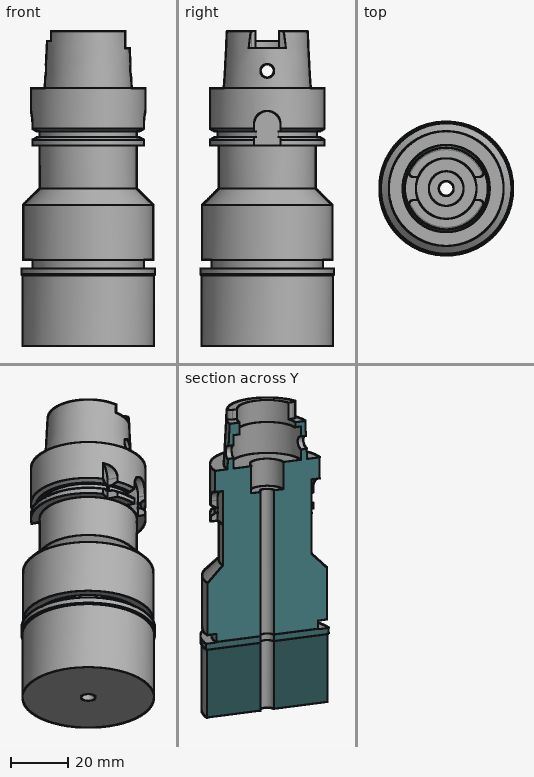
import cadquery as cq
import math

TOTAL_HEIGHT = 110.0
NUT_TOP = 24.8
RING_TOP = 27.2
BODY_BOTTOM = 30.1
SHOULDER_BOTTOM = 49.3
SHOULDER_TOP = 55.0
FLANGE_BOTTOM = 70.0
FLANGE_TOP = 90.0

NUT_RADIUS = 46.0 / 2
RING_RADIUS = 46.8 / 2
RING_CHAMFER = RING_RADIUS - NUT_RADIUS

SPIGOT_RADIUS = 19.5
BODY_RADIUS = 22.8
NECK_RADIUS = 34.0 / 2

FLANGE_RADIUS = 20.0
GROOVE_RADIUS = 34.9 / 2
GROOVE_FLOOR_BOTTOM = FLANGE_BOTTOM + 3.0
GROOVE_FLOOR_TOP = FLANGE_BOTTOM + 5.0
GROOVE_BEVEL_HEIGHT = 1.0
GROOVE_BEVEL_WIDTH = 1.6

TAPER_BASE_RADIUS = 30.5 / 2
TAPER_SLOPE = 0.05
TAPER_TOP_RADIUS = TAPER_BASE_RADIUS - TAPER_SLOPE * (TOTAL_HEIGHT - FLANGE_TOP)
TAPER_TOP_ROUND = 0.7
SOCKET_RADIUS = 10.6
SOCKET_DEPTH = TOTAL_HEIGHT - FLANGE_TOP
SOCKET_MOUTH_DEPTH = 8.0
UNDERCUT_RADIUS = 12.8
COUNTERBORE_RADIUS = 6.0
COUNTERBORE_DEPTH = 9.9
COOLANT_RADIUS = 2.5

CROSS_HOLE_RADIUS = 2.3
CROSS_HOLE_Z = FLANGE_TOP + 6.0
KEYWAY_WIDTH = 8.0
KEYWAY_CORNER_RADIUS = 1.5
KEYWAY_SHOULDER_X = 13.0
SHALLOW_KEYWAY_DEPTH = 3.5
DEEP_KEYWAY_DEPTH = 6.0

SLOT_RADIUS = 4.6
SLOT_ARC_Z = FLANGE_TOP - 12.5
DRIVE_SLOT_FLOOR_X = NECK_RADIUS
SIDE_SLOT_FLOOR_X = 12.3
SIDE_SLOT_Y = 16.4


def cylinder(radius, bottom, top):
    return cq.Workplane("XY").workplane(offset=bottom).circle(radius).extrude(top - bottom)


def coolant_hole():
    return cylinder(COOLANT_RADIUS, 0, TOTAL_HEIGHT)


def make_nut():
    return cylinder(NUT_RADIUS, 0, NUT_TOP).cut(coolant_hole())


def make_ring():
    ring = cylinder(RING_RADIUS, NUT_TOP, RING_TOP)
    return ring.faces("<Z").chamfer(RING_CHAMFER).cut(coolant_hole())


def holder_blank():
    bevel_radius = FLANGE_RADIUS - GROOVE_BEVEL_WIDTH
    round_inset = TAPER_TOP_ROUND * (1 - math.sqrt(0.5))
    outline = (
        cq.Workplane("XZ")
        .moveTo(0, RING_TOP)
        .lineTo(SPIGOT_RADIUS, RING_TOP)
        .lineTo(SPIGOT_RADIUS, BODY_BOTTOM)
        .lineTo(BODY_RADIUS, BODY_BOTTOM)
        .lineTo(BODY_RADIUS, SHOULDER_BOTTOM)
        .lineTo(NECK_RADIUS, SHOULDER_TOP)
        .lineTo(NECK_RADIUS, FLANGE_BOTTOM)
        .lineTo(FLANGE_RADIUS, FLANGE_BOTTOM)
        .lineTo(FLANGE_RADIUS, GROOVE_FLOOR_BOTTOM - GROOVE_BEVEL_HEIGHT)
        .lineTo(bevel_radius, GROOVE_FLOOR_BOTTOM)
        .lineTo(GROOVE_RADIUS, GROOVE_FLOOR_BOTTOM)
        .lineTo(GROOVE_RADIUS, GROOVE_FLOOR_TOP)
        .lineTo(bevel_radius, GROOVE_FLOOR_TOP)
        .lineTo(FLANGE_RADIUS, GROOVE_FLOOR_TOP + GROOVE_BEVEL_HEIGHT)
        .lineTo(FLANGE_RADIUS, FLANGE_TOP)
        .lineTo(TAPER_BASE_RADIUS, FLANGE_TOP)
        .lineTo(TAPER_TOP_RADIUS, TOTAL_HEIGHT - TAPER_TOP_ROUND)
        .threePointArc(
            (TAPER_TOP_RADIUS - round_inset, TOTAL_HEIGHT - round_inset),
            (TAPER_TOP_RADIUS - TAPER_TOP_ROUND, TOTAL_HEIGHT),
        )
        .lineTo(0, TOTAL_HEIGHT)
        .close()
    )
    return outline.revolve(360, (0, 0), (0, 1))


def socket():
    """Stepped bore of the hollow taper: mouth, wider undercut and counterbore."""
    floor = TOTAL_HEIGHT - SOCKET_DEPTH
    mouth_bottom = TOTAL_HEIGHT - SOCKET_MOUTH_DEPTH
    mouth = cylinder(SOCKET_RADIUS, floor, TOTAL_HEIGHT)
    undercut = cylinder(UNDERCUT_RADIUS, floor, mouth_bottom)
    counterbore = cylinder(COUNTERBORE_RADIUS, floor - COUNTERBORE_DEPTH, floor)
    return mouth.union(undercut).union(counterbore)


def cross_hole():
    return (
        cq.Workplane("YZ")
        .center(0, CROSS_HOLE_Z)
        .circle(CROSS_HOLE_RADIUS)
        .extrude(TAPER_BASE_RADIUS, both=True)
    )


def keyway(side, depth):
    """Slot through one wall of the taper, rounding out on both sides into a flat square to X."""
    half = KEYWAY_WIDTH / 2
    radius = KEYWAY_CORNER_RADIUS
    round_inset = radius * (1 - math.sqrt(0.5))
    shoulder_x = side * KEYWAY_SHOULDER_X
    round_start_x = side * (KEYWAY_SHOULDER_X - radius)
    round_middle_x = side * (KEYWAY_SHOULDER_X - round_inset)
    outer_x = side * TAPER_BASE_RADIUS
    side_y = TAPER_BASE_RADIUS
    plan = (
        cq.Workplane("XY")
        .workplane(offset=TOTAL_HEIGHT - depth)
        .moveTo(0, -half)
        .lineTo(round_start_x, -half)
        .threePointArc((round_middle_x, -half - round_inset), (shoulder_x, -half - radius))
        .lineTo(shoulder_x, -side_y)
        .lineTo(outer_x, -side_y)
        .lineTo(outer_x, side_y)
        .lineTo(shoulder_x, side_y)
        .lineTo(shoulder_x, half + radius)
        .threePointArc((round_middle_x, half + round_inset), (round_start_x, half))
        .lineTo(0, half)
        .close()
    )
    return plan.extrude(depth)


def flange_slot(side, floor_x, y):
    """Round-topped slot, open at the flange bottom, with a flat floor square to X."""
    length = FLANGE_RADIUS
    height = SLOT_ARC_Z - FLANGE_BOTTOM
    start = min(side * floor_x, side * (floor_x + length))
    plane = cq.Workplane("YZ").workplane(offset=start)
    straight = plane.center(y, FLANGE_BOTTOM + height / 2).rect(2 * SLOT_RADIUS, height).extrude(length)
    arc = plane.center(y, SLOT_ARC_Z).circle(SLOT_RADIUS).extrude(length)
    return straight.union(arc)


def make_holder():
    holder = holder_blank().cut(socket()).cut(coolant_hole()).cut(cross_hole())
    holder = holder.cut(keyway(-1, SHALLOW_KEYWAY_DEPTH)).cut(keyway(1, DEEP_KEYWAY_DEPTH))
    for side in (-1, 1):
        holder = holder.cut(flange_slot(side, DRIVE_SLOT_FLOOR_X, 0))
    return holder.cut(flange_slot(-1, SIDE_SLOT_FLOOR_X, SIDE_SLOT_Y))


holder = make_holder()
ring = make_ring()
nut = make_nut()
result = cq.Compound.makeCompound([holder.val(), ring.val(), nut.val()])